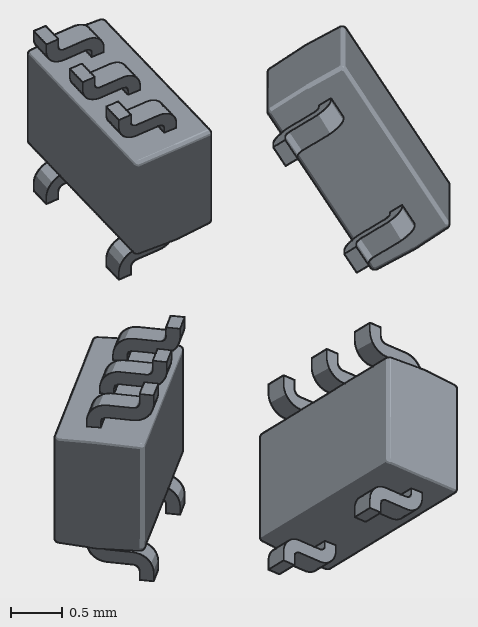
import cadquery as cq
import math

body_length = 2.0
body_width = 1.25
body_height = 0.9
standoff = 0.05
parting_y = 0.525
parting_band = 0.005
draft_angle = 2.0
edge_radius = 0.05

lead_span = 2.1
lead_width = 0.23
lead_thickness = 0.14
lead_pitch = 0.65
inner_bend_radius = 0.065
foot_straight = 0.1
lead_root_depth = 0.1
top_lead_positions = (-lead_pitch, 0, lead_pitch)
bottom_lead_positions = (-lead_pitch, lead_pitch)


def make_body_half(height, direction):
    """Half of the body, tapering away from the parting band along +Y or -Y."""
    base_y = parting_y + direction * parting_band / 2
    base_plane = cq.Plane(origin=(0, base_y, 0), xDir=(1, 0, 0), normal=(0, direction, 0))
    base_face = "<Y" if direction > 0 else ">Y"
    half = (
        cq.Workplane(base_plane)
        .rect(body_length, body_width)
        .extrude(height, taper=draft_angle)
    )
    base_edges = half.faces(base_face).edges().vals()
    rounded_edges = [
        edge for edge in half.edges().vals()
        if not any(edge.isSame(base_edge) for base_edge in base_edges)
    ]
    return half.newObject(rounded_edges).fillet(edge_radius)


def make_body():
    """Two tapered halves on either side of a thin straight parting band."""
    lower_height = parting_y - standoff - parting_band / 2
    upper_height = body_height - lower_height - parting_band
    lower_half = make_body_half(lower_height, -1)
    upper_half = make_body_half(upper_height, 1)
    band = (
        lower_half.faces(">Y").wires().toPending().workplane()
        .extrude(parting_band, combine=False)
    )
    return lower_half.union(band).union(upper_half)


def make_lead(x_center):
    """Gull-wing lead that leaves the body along +Z, drops towards Y = 0 and ends in a foot."""
    outer_bend_radius = inner_bend_radius + lead_thickness
    diagonal = math.cos(math.radians(45))
    tip_z = lead_span / 2
    root_z = body_width / 2 - lead_root_depth
    root_near_y = parting_y
    root_far_y = parting_y + lead_thickness

    foot_bend_y = outer_bend_radius
    foot_bend_z = tip_z - foot_straight
    shoulder_bend_y = root_near_y - inner_bend_radius
    shoulder_bend_z = foot_bend_z - inner_bend_radius - outer_bend_radius

    def foot_arc_middle(radius):
        return (foot_bend_y - radius * diagonal, foot_bend_z - radius * diagonal)

    def shoulder_arc_middle(radius):
        return (shoulder_bend_y + radius * diagonal, shoulder_bend_z + radius * diagonal)

    profile = (
        cq.Workplane("YZ", origin=(x_center, 0, 0))
        .moveTo(root_near_y, root_z)
        .lineTo(root_near_y, shoulder_bend_z)
        .threePointArc(
            shoulder_arc_middle(inner_bend_radius),
            (shoulder_bend_y, shoulder_bend_z + inner_bend_radius),
        )
        .lineTo(foot_bend_y, foot_bend_z - outer_bend_radius)
        .threePointArc(foot_arc_middle(outer_bend_radius), (0, foot_bend_z))
        .lineTo(0, tip_z)
        .lineTo(lead_thickness, tip_z)
        .lineTo(lead_thickness, foot_bend_z)
        .threePointArc(
            foot_arc_middle(inner_bend_radius),
            (foot_bend_y, foot_bend_z - inner_bend_radius),
        )
        .lineTo(shoulder_bend_y, shoulder_bend_z + outer_bend_radius)
        .threePointArc(
            shoulder_arc_middle(outer_bend_radius),
            (root_far_y, shoulder_bend_z),
        )
        .lineTo(root_far_y, root_z)
        .close()
    )
    return profile.extrude(lead_width / 2, both=True)


part = make_body()
for x_center in top_lead_positions:
    part = part.union(make_lead(x_center))
for x_center in bottom_lead_positions:
    part = part.union(make_lead(x_center).mirror("XY"))

result = part